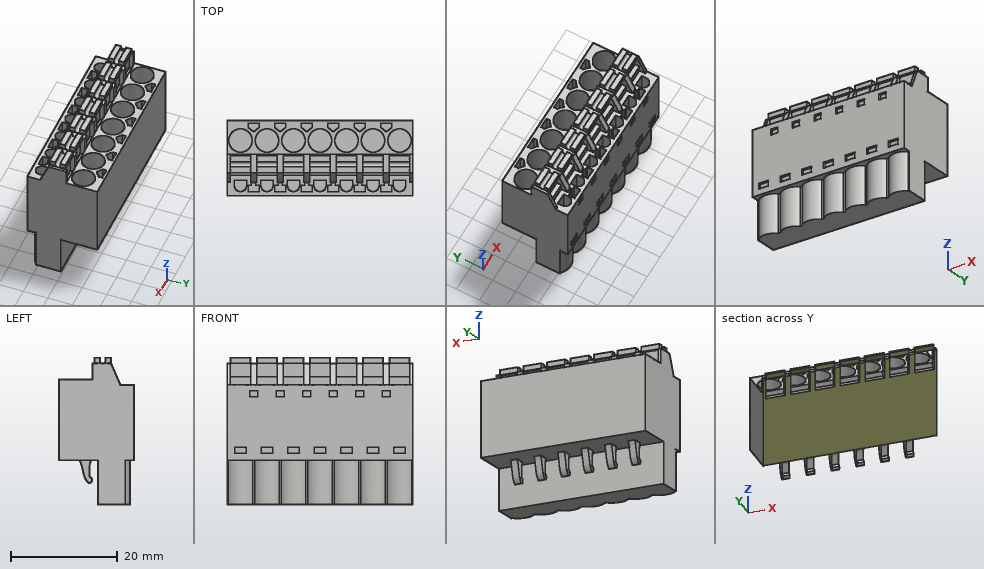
import cadquery as cq


length = 35.0
poles = 7
pitch = length / poles
pole_positions = [(pole + 0.5) * pitch - length / 2 for pole in range(poles)]
boundary_positions = [pole * pitch - length / 2 for pole in range(1, poles)]

depth = 14.2
underside_z = 8.35
front_top_z = 22.6
back_top_z = 23.62
tower_top_z = 26.65
tower_back_y = 7.88
tower_front_y = 4.35
ramp_foot_y = 2.6

rib_width = 1.15
slot_width = pitch - rib_width

plug_back_y = 6.82
plug_front_y = 1.7
bulge_width = 4.55
bulge_front_y = 0.77

hook_width = 1.4

pocket_depth = 7.0
wire_hole_radius = 2.2
wire_hole_y = 10.43
test_hole_radius = 1.15
test_hole_y = 1.95
test_hole_back_y = 2.95
key_width = 2.15
key_back_y = 13.65
key_shoulder_y = 12.9
key_point_y = 12.08
tee_front_y = 0.75
tee_shoulder_y = 2.03
tee_back_y = 2.45
tee_neck_width = 0.85

window_depth = 0.52
window_height = 1.2
upper_window_width = 1.58
upper_window_z = 20.93
lower_window_width = 2.2
lower_window_z = 10.25

lever_top_z = 27.72
head_bottom_z = 26.7
head_front_y = tower_front_y
head_back_y = 7.52
head_overhang = 0.52
foot_front_y = 3.9
foot_top_z = 24.1
groove_radius = 0.5
groove_axis_z = 27.1


def box(width, y_range, z_range, x=0.0):
    """Block centred on x, spanning the given Y and Z ranges."""
    return (
        cq.Workplane("XY")
        .box(width, y_range[1] - y_range[0], z_range[1] - z_range[0], centered=(True, False, False))
        .translate((x, y_range[0], z_range[0]))
    )


def extrude_along_x(side_profile, width, x=0.0):
    """Extrude a YZ profile to the given width, centred on x."""
    return side_profile.extrude(width).translate((x - width / 2, 0, 0))


def pocket(outline, top_z, x):
    """Cutter for a blind pocket sunk from top_z; the outline is drawn on the XY plane."""
    return outline.extrude(-pocket_depth).translate((x, 0, top_z))



def housing_block():
    profile = cq.Workplane("YZ").polyline([
        (0, underside_z),
        (depth, underside_z),
        (depth, back_top_z),
        (tower_back_y, back_top_z),
        (tower_back_y, tower_top_z),
        (tower_front_y, tower_top_z),
        (ramp_foot_y, front_top_z),
        (0, front_top_z),
    ]).close()
    return extrude_along_x(profile, length)


def plug_bar():
    return box(length, (plug_front_y, plug_back_y), (0, underside_z))


def plug_bulge(x):
    """Rounded front of one pole's plug."""
    return (
        cq.Workplane("XY")
        .moveTo(-bulge_width / 2, plug_front_y)
        .threePointArc((0, bulge_front_y), (bulge_width / 2, plug_front_y))
        .close()
        .extrude(underside_z)
        .translate((x, 0, 0))
    )


def latch_hook(x):
    """Curved hook that hangs behind the plug, with a rounded nose pointing forward."""
    profile = (
        cq.Workplane("YZ")
        .moveTo(10.3, underside_z)
        .lineTo(9.98, 7.55)
        .lineTo(9.52, 5.7)
        .threePointArc((9.15, 4.72), (8.58, 4.05))
        .threePointArc((8.1, 4.27), (7.98, 4.97))
        .lineTo(8.4, 5.3)
        .lineTo(8.4, 7.18)
        .threePointArc((8.3, 7.8), (8.1, underside_z))
        .close()
    )
    return extrude_along_x(profile, hook_width, x)


def lever_slot(x):
    return box(slot_width, (0, tower_back_y), (front_top_z, tower_top_z), x)


def wire_hole(x):
    outline = cq.Workplane("XY").center(0, wire_hole_y).circle(wire_hole_radius)
    return pocket(outline, back_top_z, x)


def test_hole(x):
    """D-shaped hole, flat at the back and round at the front."""
    outline = (
        cq.Workplane("XY")
        .moveTo(test_hole_radius, test_hole_y)
        .lineTo(test_hole_radius, test_hole_back_y)
        .lineTo(-test_hole_radius, test_hole_back_y)
        .lineTo(-test_hole_radius, test_hole_y)
        .threePointArc((0, test_hole_y - test_hole_radius), (test_hole_radius, test_hole_y))
        .close()
    )
    return pocket(outline, front_top_z, x)


def key_pocket(x):
    """Five-sided pocket behind the wire holes, pointing forward."""
    outline = cq.Workplane("XY").polyline([
        (-key_width / 2, key_back_y),
        (-key_width / 2, key_shoulder_y),
        (0, key_point_y),
        (key_width / 2, key_shoulder_y),
        (key_width / 2, key_back_y),
    ]).close()
    return pocket(outline, back_top_z, x)


def tee_pocket(x):
    """Rectangular pocket with a narrow neck that reaches back towards the rib."""
    outline = cq.Workplane("XY").polyline([
        (-key_width / 2, tee_front_y),
        (key_width / 2, tee_front_y),
        (key_width / 2, tee_shoulder_y),
        (tee_neck_width / 2, tee_shoulder_y),
        (tee_neck_width / 2, tee_back_y),
        (-tee_neck_width / 2, tee_back_y),
        (-tee_neck_width / 2, tee_shoulder_y),
        (-key_width / 2, tee_shoulder_y),
    ]).close()
    return pocket(outline, front_top_z, x)


def front_window(width, center_z, x):
    z_range = (center_z - window_height / 2, center_z + window_height / 2)
    return box(width, (0, window_depth), z_range, x)


def make_housing():
    body = housing_block().union(plug_bar())
    for x in pole_positions:
        body = body.union(plug_bulge(x))
        body = body.cut(lever_slot(x))
        body = body.cut(wire_hole(x))
        body = body.cut(test_hole(x))
        body = body.cut(front_window(lower_window_width, lower_window_z, x))
    for x in boundary_positions:
        body = body.union(latch_hook(x))
        body = body.cut(key_pocket(x))
        body = body.cut(tee_pocket(x))
        body = body.cut(front_window(upper_window_width, upper_window_z, x))
    return body



def make_lever(x):
    """Lever standing on the slot floor: stepped foot, stem and grooved head."""
    stem_y = (head_front_y + head_overhang, head_back_y - head_overhang)
    groove_y = (head_front_y + head_back_y) / 2

    foot = box(slot_width, (foot_front_y, stem_y[1]), (front_top_z, foot_top_z), x)
    stem = box(slot_width, stem_y, (foot_top_z, head_bottom_z), x)
    head = box(slot_width, (head_front_y, head_back_y), (head_bottom_z, lever_top_z), x)

    groove_walls = (groove_y - groove_radius, groove_y + groove_radius)
    groove_top = box(slot_width, groove_walls, (groove_axis_z, lever_top_z), x)
    groove_circle = cq.Workplane("YZ").center(groove_y, groove_axis_z).circle(groove_radius)
    groove_bottom = extrude_along_x(groove_circle, slot_width, x)

    return foot.union(stem).union(head).cut(groove_top).cut(groove_bottom)


housing = make_housing()
levers = [make_lever(x) for x in pole_positions]

result = cq.Compound.makeCompound([housing.val(), *[lever.val() for lever in levers]])